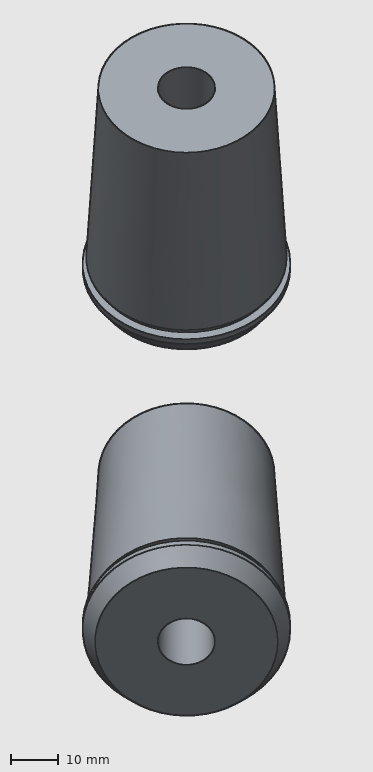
import cadquery as cq

height = 60.0
bore_diameter = 12.0

base_diameter = 38.4
collar_diameter = 43.7
groove_diameter = 39.8
taper_base_diameter = 42.2
taper_top_diameter = 37.1

collar_bottom = 4.5
groove_bottom = 6.0
taper_bottom = 8.0

profile = [
    (bore_diameter / 2, 0),
    (base_diameter / 2, 0),
    (collar_diameter / 2, collar_bottom),
    (collar_diameter / 2, groove_bottom),
    (groove_diameter / 2, groove_bottom),
    (groove_diameter / 2, taper_bottom),
    (taper_base_diameter / 2, taper_bottom),
    (taper_top_diameter / 2, height),
    (bore_diameter / 2, height),
]

result = cq.Workplane("XZ").polyline(profile).close().revolve(360, (0, 0, 0), (0, 1, 0))